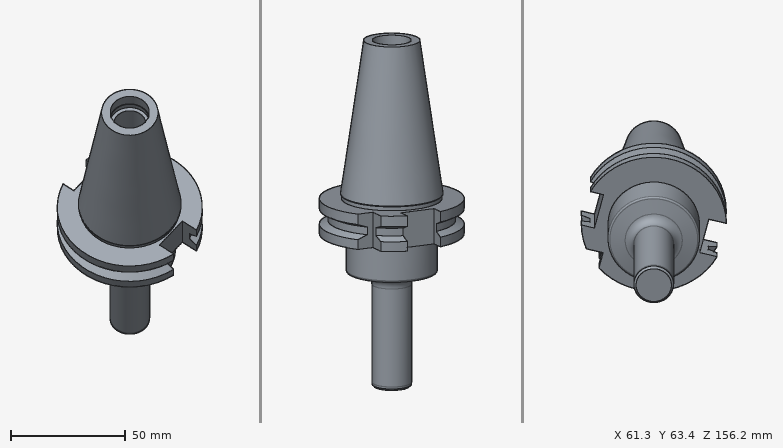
import cadquery as cq
import math

TOTAL_LENGTH = 156.2
FLANGE_BOTTOM = 68.9
FLANGE_HEIGHT = 16.0
FLANGE_TOP = FLANGE_BOTTOM + FLANGE_HEIGHT

SHANK_RADIUS = 17.5 / 2
TIP_RADIUS = 17.3 / 2
TIP_HEIGHT = 1.9
TIP_CHAMFER = 1.0
SHANK_ROOT_RADIUS = 4.5
COLLAR_RADIUS = 40.0 / 2
COLLAR_EDGE_ROUND = 1.0
COLLAR_BOTTOM = 51.9
COLLAR_SLOPE_DEG = 10

FLANGE_RADIUS = 31.7
GROOVE_RADIUS = 28.0
LOWER_BAND = 4.4
UPPER_BAND = 4.7
GROOVE_SIDE_HEIGHT = 1.7

NECK_RADIUS = 44.0 / 2
NECK_HEIGHT = 1.7
GAUGE_RADIUS = 22.5
GAUGE_BEVEL = GAUGE_RADIUS - NECK_RADIUS
GAUGE_BEVEL_TOP = FLANGE_TOP + NECK_HEIGHT + GAUGE_BEVEL
TAPER_TOP_RADIUS = 12.3

MOUTH_RADIUS = 17.0 / 2
MOUTH_DEPTH = 6.0
UNDERCUT_RADIUS = 17.5 / 2
UNDERCUT_DEPTH = 8.8
BORE_RADIUS = 14.0 / 2
BORE_DEPTH = 31.2
DRILL_POINT_DEG = 118

SLOT_WIDTH = 16.2
SLOT_FLOOR_LEFT = -24.7
SLOT_FLOOR_RIGHT = 22.8
NOTCH_X = -18.1
NOTCH_Y = 18.6


def make_body():
    """Revolve the outside of the holder: shank, collar, flange and taper."""
    slope = math.radians(COLLAR_SLOPE_DEG)
    root_x = SHANK_RADIUS + SHANK_ROOT_RADIUS
    collar_tip_z = COLLAR_BOTTOM - (COLLAR_RADIUS - root_x) * math.tan(slope)

    tangent_x = root_x - SHANK_ROOT_RADIUS * math.sin(slope)
    tangent_z = collar_tip_z - (root_x - tangent_x) * math.tan(slope)
    root_center_z = tangent_z - SHANK_ROOT_RADIUS * math.cos(slope)
    arc_mid = (math.pi + math.pi / 2 + slope) / 2
    root_mid = (
        root_x + SHANK_ROOT_RADIUS * math.cos(arc_mid),
        root_center_z + SHANK_ROOT_RADIUS * math.sin(arc_mid),
    )

    edge_center_x = COLLAR_RADIUS - COLLAR_EDGE_ROUND
    edge_center_z = (
        COLLAR_BOTTOM - COLLAR_EDGE_ROUND * math.tan(slope) + COLLAR_EDGE_ROUND / math.cos(slope)
    )
    edge_start_angle = slope - math.pi / 2

    def edge_point(angle):
        return (
            edge_center_x + COLLAR_EDGE_ROUND * math.cos(angle),
            edge_center_z + COLLAR_EDGE_ROUND * math.sin(angle),
        )

    profile = (
        cq.Workplane("XZ")
        .moveTo(0, 0)
        .lineTo(TIP_RADIUS - TIP_CHAMFER, 0)
        .lineTo(TIP_RADIUS, TIP_CHAMFER)
        .lineTo(SHANK_RADIUS, TIP_HEIGHT)
        .lineTo(SHANK_RADIUS, root_center_z)
        .threePointArc(root_mid, (tangent_x, tangent_z))
        .lineTo(*edge_point(edge_start_angle))
        .threePointArc(edge_point(edge_start_angle / 2), edge_point(0))
        .lineTo(COLLAR_RADIUS, FLANGE_BOTTOM)
        .lineTo(FLANGE_RADIUS, FLANGE_BOTTOM)
        .lineTo(FLANGE_RADIUS, FLANGE_BOTTOM + LOWER_BAND)
        .lineTo(GROOVE_RADIUS, FLANGE_BOTTOM + LOWER_BAND + GROOVE_SIDE_HEIGHT)
        .lineTo(GROOVE_RADIUS, FLANGE_TOP - UPPER_BAND - GROOVE_SIDE_HEIGHT)
        .lineTo(FLANGE_RADIUS, FLANGE_TOP - UPPER_BAND)
        .lineTo(FLANGE_RADIUS, FLANGE_TOP)
        .lineTo(NECK_RADIUS, FLANGE_TOP)
        .lineTo(NECK_RADIUS, FLANGE_TOP + NECK_HEIGHT)
        .lineTo(GAUGE_RADIUS, GAUGE_BEVEL_TOP)
        .lineTo(TAPER_TOP_RADIUS, TOTAL_LENGTH)
        .lineTo(0, TOTAL_LENGTH)
        .close()
    )
    return profile.revolve(360, (0, 0, 0), (0, 1, 0))


def make_bore():
    """Revolve the blind bore: mouth, undercut, drilled hole and conical drill point."""
    mouth_z = TOTAL_LENGTH - MOUTH_DEPTH
    step_z = TOTAL_LENGTH - UNDERCUT_DEPTH
    floor_z = TOTAL_LENGTH - BORE_DEPTH
    point_depth = BORE_RADIUS / math.tan(math.radians(DRILL_POINT_DEG / 2))
    profile = (
        cq.Workplane("XZ")
        .moveTo(0, TOTAL_LENGTH)
        .lineTo(MOUTH_RADIUS, TOTAL_LENGTH)
        .lineTo(MOUTH_RADIUS, mouth_z)
        .lineTo(UNDERCUT_RADIUS, mouth_z)
        .lineTo(UNDERCUT_RADIUS, step_z)
        .lineTo(BORE_RADIUS, step_z)
        .lineTo(BORE_RADIUS, floor_z)
        .lineTo(0, floor_z - point_depth)
        .close()
    )
    return profile.revolve(360, (0, 0, 0), (0, 1, 0))


def flange_cut(x_min, x_max, y_min, y_max):
    """Rectangular cutter over the full height of the flange."""
    return (
        cq.Workplane("XY", origin=(0, 0, FLANGE_BOTTOM))
        .center((x_min + x_max) / 2, (y_min + y_max) / 2)
        .rect(x_max - x_min, y_max - y_min)
        .extrude(FLANGE_HEIGHT)
    )


cut_reach = FLANGE_RADIUS + 1.5
half_slot = SLOT_WIDTH / 2

left_slot = flange_cut(-cut_reach, SLOT_FLOOR_LEFT, -half_slot, half_slot)
right_slot = flange_cut(SLOT_FLOOR_RIGHT, cut_reach, -half_slot, half_slot)
corner_notch = flange_cut(-cut_reach, NOTCH_X, NOTCH_Y, cut_reach)

result = make_body()
for cutter in (make_bore(), left_slot, right_slot, corner_notch):
    result = result.cut(cutter)